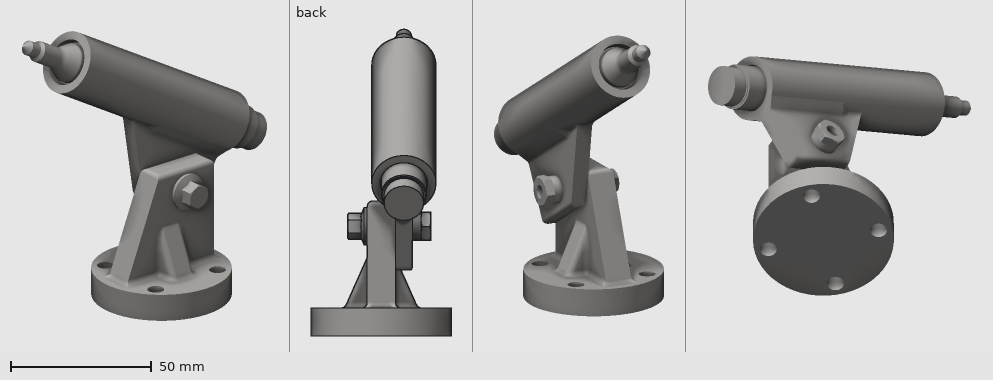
import cadquery as cq
import math

fillet = 2.0
root_fillet = 1.98
select_margin = 0.05

flange_dia = 50.0
flange_height = 10.0
mount_hole_dia = 6.0
mount_hole_count = 4
mount_circle_dia = 40.0
mount_start_angle = 45.0
plate_thickness = 10.0
plate_foot_length = 40.0
plate_top_length = 25.0
plate_top = 48.0
rib_width = 10.0
rib_reach = 13.0
rib_top = 28.0

pivot_y = 7.5
pivot_z = 39.0
tilt = 30.0

arm_thickness = 6.0
arm_x = -(plate_thickness + arm_thickness) / 2
barrel_dia = 22.8
barrel_bore = 16.8
barrel_length = 84.0
barrel_rear_to_pivot = 17.0
arm_depth = 25.0
pivot_above_arm_end = 9.0
arm_end_length = 25.0
arm_root_length = 45.0
gusset_length = 35.0
gusset_runout = 7.05
gusset_rise = 3.0
gusset_drop = 1.6
gusset_half_width = 8.0
gusset_angle = 44.0

pen_dia = 16.0
pen_collar_dia = 15.21
pen_tail_dia = 13.99
pen_nose_dia = 14.07
stem_dia = 7.66
tip_dia = 5.36
tail_end = -14.12
ring_rear = -8.6
groove_rear = -8.3
groove_front = -7.95
shoulder_depth = 2.5
cone_depth = 0.1
cone_angle = 28.0
flare_radius = 4.2
stem_end = 99.65
stem_chamfer_length = 1.0
tip_end = 104.76

thread_dia = 4.92
bolt_length = 20.0
bolt_flats = 8.0
bolt_flange_dia = 13.4
bolt_flange_rim = 1.1
bolt_flange_height = 2.3
bolt_head_height = 7.0
nut_flats = 10.0
nut_height = 6.6
nut_collar_height = 3.1
hex_chamfer_angle = 30.0
hex_sides = 6
bolt_head_turn = 30.0

arm_outer_x = arm_x - arm_thickness / 2
plate_face_x = plate_thickness / 2
barrel_radius = barrel_dia / 2
axis_z = pivot_z - pivot_above_arm_end + arm_depth + barrel_radius
barrel_rear_y = pivot_y + barrel_rear_to_pivot


def tilted(body):
    """Swing a body built with a level barrel axis up about the pivot."""
    return body.rotate((0, pivot_y, pivot_z), (1, pivot_y, pivot_z), -tilt)


def enclosing_box(low, high):
    """Selector for the edges that lie wholly between two corner points."""
    return cq.selectors.BoxSelector(
        [value - select_margin for value in low],
        [value + select_margin for value in high],
        boundingbox=True,
    )


def cylinder_x(diameter, x_start, x_end):
    """Cylinder on the pivot axis between two X positions."""
    return (
        cq.Workplane("YZ", origin=(x_start, pivot_y, pivot_z))
        .circle(diameter / 2)
        .extrude(x_end - x_start)
    )


def pivot_hole():
    return cylinder_x(thread_dia, arm_outer_x, plate_face_x)


def upright_plate():
    rear = plate_foot_length / 2
    outline = [
        (rear, flange_height),
        (rear, plate_top),
        (rear - plate_top_length, plate_top),
        (-rear, flange_height),
    ]
    plate = (
        cq.Workplane("YZ", origin=(-plate_thickness / 2, 0, 0))
        .polyline(outline).close()
        .extrude(plate_thickness)
    )
    return plate.faces(">Z").edges().fillet(fillet)


def rib(side):
    """Sloping rib on one face of the plate; side is +1 or -1."""
    outline = [
        (0, flange_height),
        (side * rib_reach, flange_height),
        (side * plate_face_x, rib_top),
        (0, rib_top),
    ]
    body = (
        cq.Workplane("XZ", origin=(0, rib_width / 2, 0))
        .polyline(outline).close()
        .extrude(rib_width)
    )
    slope_x = side * (rib_reach + plate_face_x) / 2
    slope_z = (flange_height + rib_top) / 2
    for edge_y in (-rib_width / 2, rib_width / 2):
        slope_edge = cq.selectors.NearestToPointSelector((slope_x, edge_y, slope_z))
        body = body.edges(slope_edge).fillet(fillet)
    return body


def make_base():
    flange = cq.Workplane("XY").circle(flange_dia / 2).extrude(flange_height)
    base = flange.union(upright_plate()).union(rib(1)).union(rib(-1))

    foot = enclosing_box(
        (-rib_reach, -plate_foot_length / 2, flange_height),
        (rib_reach, plate_foot_length / 2, flange_height),
    )
    right_root, left_root = [
        enclosing_box(
            (face_x, -rib_width / 2, flange_height),
            (face_x, rib_width / 2, rib_top),
        )
        for face_x in (plate_face_x, -plate_face_x)
    ]
    base = base.edges(foot + right_root + left_root).fillet(root_fillet)

    mount_holes = (
        cq.Workplane("XY")
        .polarArray(mount_circle_dia / 2, mount_start_angle, 360, mount_hole_count)
        .circle(mount_hole_dia / 2)
        .extrude(flange_height)
    )
    return base.cut(mount_holes).cut(pivot_hole())


def barrel_cylinder(diameter):
    return (
        cq.Workplane("XZ", origin=(arm_x, barrel_rear_y, axis_z))
        .circle(diameter / 2)
        .extrude(barrel_length)
    )


def arm():
    """Tapering plate below the barrel; its lower end is rounded all round."""
    root_z = axis_z - barrel_radius
    end_z = root_z - arm_depth
    buried_z = axis_z - barrel_bore / 2
    front_slope = (arm_root_length - arm_end_length) / arm_depth
    buried_length = arm_root_length + front_slope * (buried_z - root_z)
    outline = [
        (barrel_rear_y, end_z),
        (barrel_rear_y, buried_z),
        (barrel_rear_y - buried_length, buried_z),
        (barrel_rear_y - arm_end_length, end_z),
    ]
    plate = (
        cq.Workplane("YZ", origin=(arm_outer_x, 0, 0))
        .polyline(outline).close()
        .extrude(arm_thickness)
    )
    return plate.faces("<Z").edges().fillet(fillet)


def gusset_section(distance):
    """Trapezium across the arm, at a distance along the barrel."""
    half_foot = arm_thickness / 2
    height = (gusset_half_width - half_foot) / math.tan(math.radians(gusset_angle))
    foot_z = -barrel_radius - gusset_drop
    return (
        cq.Workplane("XZ", origin=(arm_x, barrel_rear_y - distance, axis_z))
        .moveTo(-half_foot, foot_z)
        .lineTo(half_foot, foot_z)
        .lineTo(gusset_half_width, foot_z + height)
        .lineTo(-gusset_half_width, foot_z + height)
        .close()
    )


def gusset():
    """Flanks between arm and barrel that run out into the barrel at the front."""
    straight = gusset_section(0).extrude(gusset_length)
    runout = cq.Solid.extrudeLinear(
        gusset_section(gusset_length).wire().val(),
        [],
        cq.Vector(0, -gusset_runout, gusset_rise),
    )
    return straight.union(cq.Workplane(runout))


def make_holder():
    holder = barrel_cylinder(barrel_dia).union(arm()).union(gusset())

    root_top = axis_z - barrel_bore / 2
    root_bottom = axis_z - barrel_radius - gusset_drop
    outer_root, inner_root = [
        enclosing_box(
            (face_x, barrel_rear_y - arm_root_length - fillet, root_bottom),
            (face_x, barrel_rear_y, root_top),
        )
        for face_x in (arm_outer_x, arm_outer_x + arm_thickness)
    ]
    holder = holder.edges(outer_root + inner_root).fillet(fillet)

    return tilted(holder.cut(barrel_cylinder(barrel_bore))).cut(pivot_hole())


def make_pen():
    """Turned pen: tail, grooved body, cone, stem and pointed tip."""
    shoulder = barrel_length - shoulder_depth
    cone_start = barrel_length - cone_depth
    angle = math.radians(cone_angle)
    flare_start_dia = stem_dia + 2 * flare_radius * (1 - math.cos(angle))
    cone_end = cone_start + (pen_nose_dia - flare_start_dia) / 2 / math.tan(angle)
    stem_start = cone_end + flare_radius * math.sin(angle)
    point_length = tip_dia / 2
    body_steps = [
        (pen_tail_dia, tail_end),
        (pen_tail_dia, ring_rear),
        (pen_collar_dia, ring_rear),
        (pen_collar_dia, groove_rear),
        (pen_tail_dia, groove_rear),
        (pen_tail_dia, groove_front),
        (pen_dia, groove_front),
        (pen_dia, shoulder - (pen_dia - pen_collar_dia) / 2),
        (pen_collar_dia, shoulder),
        (pen_nose_dia, shoulder),
        (pen_nose_dia, cone_start),
        (flare_start_dia, cone_end),
    ]
    body_outline = [(0, tail_end)] + [(diameter / 2, place) for diameter, place in body_steps]
    pen = (
        cq.Workplane("XY")
        .polyline(body_outline)
        .tangentArcPoint((stem_dia / 2, stem_start), relative=False)
        .lineTo(stem_dia / 2, stem_end)
        .lineTo(tip_dia / 2, stem_end + stem_chamfer_length)
        .lineTo(tip_dia / 2, tip_end)
        .lineTo(0, tip_end + point_length)
        .close()
        .revolve(360, (0, 0, 0), (0, 1, 0))
        .rotate((0, 0, 0), (0, 0, 1), 180)
        .translate((arm_x, barrel_rear_y, axis_z))
    )
    return tilted(pen)


def hex_corner_radius(flats):
    return flats / 2 / math.cos(math.pi / hex_sides)


def hexagon_x(flats, x_start, x_end, corner_turn):
    """Hexagonal prism on the pivot axis, turned by an angle about it."""
    prism = (
        cq.Workplane("YZ", origin=(x_start, pivot_y, pivot_z))
        .polygon(hex_sides, 2 * hex_corner_radius(flats))
        .extrude(x_end - x_start)
    )
    return prism.rotate((0, pivot_y, pivot_z), (1, pivot_y, pivot_z), corner_turn)


def chamfer_cone_x(flats, x_start, x_end):
    """Round blank, bevelled at both ends, that trims the corners of a hexagon."""
    corner_radius = hex_corner_radius(flats)
    corner_drop = (corner_radius - flats / 2) * math.tan(math.radians(hex_chamfer_angle))
    return (
        cq.Workplane("XY")
        .polyline([
            (x_start, 0),
            (x_start, flats / 2),
            (x_start + corner_drop, corner_radius),
            (x_end - corner_drop, corner_radius),
            (x_end, flats / 2),
            (x_end, 0),
        ]).close()
        .revolve(360, (0, 0, 0), (1, 0, 0))
        .translate((0, pivot_y, pivot_z))
    )


def make_bolt():
    flange_rim_x = plate_face_x + bolt_flange_rim
    flange_end_x = plate_face_x + bolt_flange_height
    head_end_x = plate_face_x + bolt_head_height
    flange = (
        cq.Workplane("XY")
        .moveTo(plate_face_x, 0)
        .lineTo(plate_face_x, bolt_flange_dia / 2)
        .lineTo(flange_rim_x, bolt_flange_dia / 2)
        .lineTo(flange_end_x, bolt_flats / 2)
        .lineTo(flange_end_x, 0)
        .close()
        .revolve(360, (0, 0, 0), (1, 0, 0))
        .translate((0, pivot_y, pivot_z))
    )
    head = hexagon_x(bolt_flats, plate_face_x, head_end_x, bolt_head_turn)
    head = head.intersect(chamfer_cone_x(bolt_flats, plate_face_x, head_end_x))
    shank = cylinder_x(thread_dia, plate_face_x - bolt_length, plate_face_x)
    return shank.union(flange).union(head)


def make_nut():
    end_x = arm_outer_x - nut_height
    collar_x = arm_outer_x - nut_collar_height
    body = hexagon_x(nut_flats, end_x, collar_x, 0)
    body = body.intersect(chamfer_cone_x(nut_flats, end_x, collar_x))
    collar = cylinder_x(nut_flats, collar_x, arm_outer_x)
    return body.union(collar).cut(cylinder_x(thread_dia, end_x, arm_outer_x))


base = make_base()
holder = make_holder()
pen = make_pen()
bolt = make_bolt()
nut = make_nut()

result = cq.Compound.makeCompound([
    base.val(),
    holder.val(),
    pen.val(),
    bolt.val(),
    nut.val(),
])